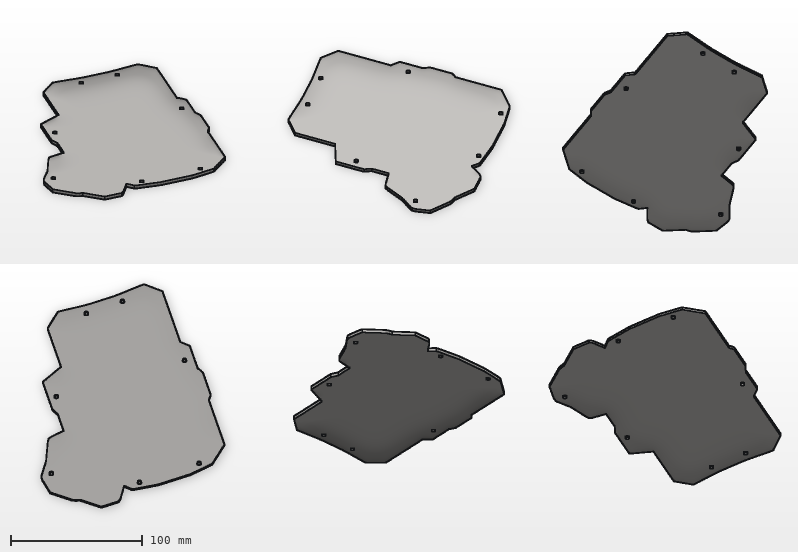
import cadquery as cq

thickness = 3.0
screw_hole_diameter = 3.0

plate_length = 157.9
plate_width = 142.9
left_edge_x = 1.7
right_edge_x = 154.7
upper_left_edge_y = 134.3
upper_edge_y = 140.2
lower_left_edge_y = 42.2
lower_tab_edge_y = 25.1
lower_step_edge_y = 27.8
left_corner_x = 9.8

outline = [
    (left_corner_x, upper_left_edge_y),
    (52.4, upper_left_edge_y),
    (57.6, upper_edge_y),
    (76.3, upper_edge_y),
    (81.1, plate_width),
    (99.5, plate_width),
    (102.8, upper_edge_y),
    (140.3, upper_edge_y),
    (152.0, 126.5),
    (152.7, 122.8),
    (right_edge_x, 108.0),
    (right_edge_x, 82.5),
    (152.3, 63.6),
    (151.9, 62.0),
    (147.5, 57.3),
    (156.0, 51.6),
    (plate_length, 49.4),
    (plate_length, 35.7),
    (147.3, 22.0),
    (146.7, 19.3),
    (145.7, 16.7),
    (134.7, 2.4),
    (123.5, 0.0),
    (121.0, 0.0),
    (119.7, 0.5),
    (110.0, 7.3),
    (95.8, 13.4),
    (93.6, 14.8),
    (93.0, 16.7),
    (91.2, lower_step_edge_y),
    (77.5, lower_step_edge_y),
    (72.3, lower_tab_edge_y),
    (49.3, lower_tab_edge_y),
    (42.3, lower_left_edge_y),
    (left_corner_x, lower_left_edge_y),
    (0.0, 53.5),
    (0.2, 57.0),
    (1.4, 72.6),
    (left_edge_x, 78.5),
    (left_edge_x, 97.5),
    (1.4, 103.4),
    (0.2, 118.9),
    (0.0, 122.8),
]

screw_hole_centers = [
    (67.3, 132.6),
    (148.5, 117.0),
    (7.5, 103.0),
    (8.0, 73.7),
    (148.5, 69.3),
    (63.6, 31.1),
    (120.6, 8.0),
]


def make_plate():
    return cq.Workplane("XY").polyline(outline).close().extrude(thickness)


def make_screw_holes():
    return (
        cq.Workplane("XY")
        .pushPoints(screw_hole_centers)
        .circle(screw_hole_diameter / 2)
        .extrude(thickness)
    )


result = make_plate().cut(make_screw_holes())